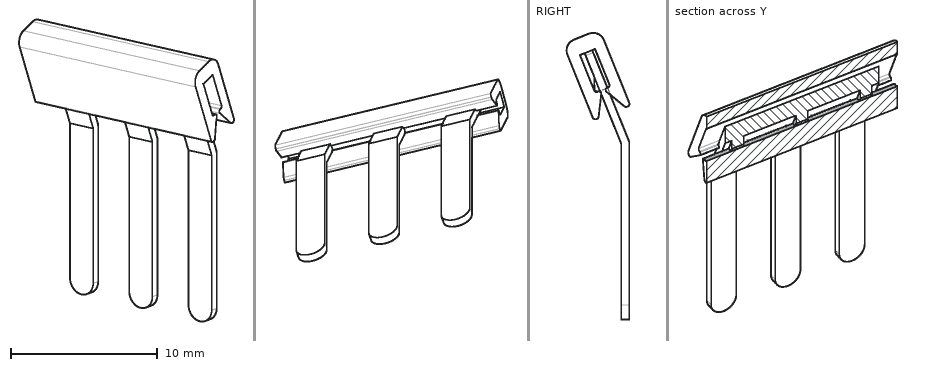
import cadquery as cq
import math

total_height = 19.53
lean_angle = math.radians(22)
lean_sin = math.sin(lean_angle)
lean_cos = math.cos(lean_angle)

clip_length = 15.27
clip_width = 2.7
clip_depth = 5.6
wall = 0.8
roof = 1.13
ledge_depth = 3.89
hook_reach = 1.29
tip_width = 0.35
small_radius = 0.15
tip_round = 0.21

thickness = 0.57
prong_width = 2.03
prong_pitch = 5.14
prong_count = 3
contact_offset = 1.0
bend_depth = 7.87
barb_length = 1.04
barb_width = 0.98
strip_length = (prong_count - 1) * prong_pitch + prong_width

bend_height = (total_height - wall - (bend_depth - wall) * lean_cos
               - (contact_offset - wall) * lean_sin)

clip_origin = (
    0,
    contact_offset * lean_cos - bend_depth * lean_sin,
    bend_height + contact_offset * lean_sin + bend_depth * lean_cos,
)
lean_plane = cq.Plane(origin=clip_origin, xDir=(0, -lean_cos, -lean_sin), normal=(-1, 0, 0))

prong_centres = [(i - (prong_count - 1) / 2) * prong_pitch for i in range(prong_count)]


def leaning_prism(points, length):
    """Extrude a closed section in the leaning frame, centred on X = 0."""
    return cq.Workplane(lean_plane).polyline(points).close().extrude(length / 2, both=True)


def round_edges(body, points, radius):
    """Round the X-direction edges passing through points of the leaning frame."""
    for across, along in points:
        place = lean_plane.toWorldCoords((across, along, 0))
        body = body.edges("|X").edges(cq.selectors.NearestToPointSelector(place)).fillet(radius)
    return body


def mirrored(points):
    """Reflect points across the middle of the clip."""
    return [(clip_width - across, along) for across, along in points]


def make_clip_blank():
    top_corner = (0, 0)
    arm_end = (0, -clip_depth)
    arm_tip = (tip_width, -clip_depth)
    hook_nose = (hook_reach, -ledge_depth)
    ledge_corner = (wall, -ledge_depth)
    roof_corner = (wall, -roof)
    half = [top_corner, arm_end, arm_tip, hook_nose, ledge_corner, roof_corner]
    clip = leaning_prism(half + mirrored(half)[::-1], clip_length)

    tip_corners = [arm_end, arm_tip]
    clip = round_edges(clip, tip_corners + mirrored(tip_corners), tip_round)
    small_corners = [hook_nose, ledge_corner]
    clip = round_edges(clip, small_corners + mirrored(small_corners), small_radius)
    return round_edges(clip, [top_corner] + mirrored([top_corner]), wall)


def make_strip():
    """Flat strip joining the prongs, between the clip roof and the ledges."""
    near = contact_offset
    far = contact_offset + thickness
    strip = leaning_prism(
        [(near, -roof), (far, -roof), (far, -ledge_depth), (near, -ledge_depth)], strip_length
    )
    across_strip = cq.Vector(0, lean_cos, lean_sin)
    thickness_edges = strip.edges(cq.selectors.ParallelDirSelector(across_strip))
    return thickness_edges.edges(">Z").fillet(small_radius)


def make_prong(centre):
    """Upright blade with a round tip, bent over to meet the strip."""
    miter_drop = thickness * math.tan(lean_angle / 2)
    strip_foot = [
        lean_plane.toWorldCoords((across, -ledge_depth, 0))
        for across in (contact_offset, contact_offset + thickness)
    ]
    section = [
        (0, 0),
        (0, bend_height),
        (strip_foot[0].y, strip_foot[0].z),
        (strip_foot[1].y, strip_foot[1].z),
        (-thickness, bend_height - miter_drop),
        (-thickness, 0),
    ]
    blade = cq.Workplane("YZ").polyline(section).close().extrude(prong_width / 2, both=True)
    tip_radius = prong_width / 2
    outline = (
        cq.Workplane("XZ")
        .moveTo(-tip_radius, total_height)
        .lineTo(-tip_radius, tip_radius)
        .threePointArc((0, 0), (tip_radius, tip_radius))
        .lineTo(tip_radius, total_height)
        .close()
        .extrude(total_height, both=True)
    )
    blade = blade.intersect(outline)
    return blade.translate((centre, 0, 0))


def make_barb(centre):
    """Wedge on the -Y face of the strip that catches on the ledge."""
    face = contact_offset + thickness
    cavity_wall = clip_width - wall
    section = [
        (face, barb_length - ledge_depth),
        (cavity_wall, small_radius - ledge_depth),
        (cavity_wall - small_radius, -ledge_depth),
        (face, -ledge_depth),
    ]
    return leaning_prism(section, barb_width).translate((centre, 0, 0))


def make_contact():
    contact = make_strip()
    for centre in prong_centres:
        contact = contact.union(make_prong(centre)).union(make_barb(centre))
    return contact


contact = make_contact()

clip = make_clip_blank().cut(contact)

result = cq.Compound.makeCompound([clip.val(), contact.val()])